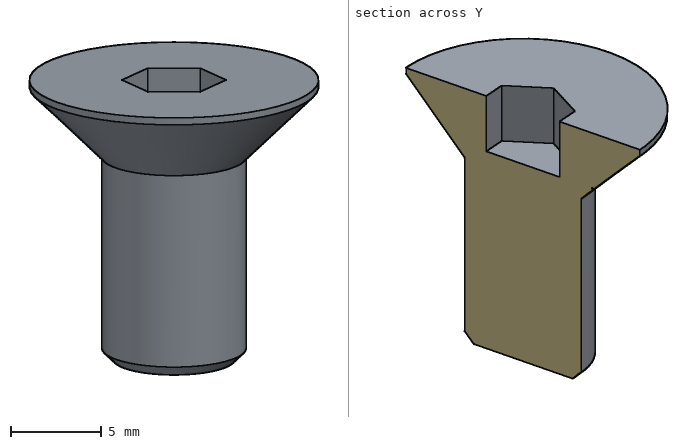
import cadquery as cq
import math

total_length = 16.0
head_diameter = 16.0
shank_diameter = head_diameter / 2
rim_height = 0.4
tip_chamfer = 0.62
socket_across_flats = 5.0
socket_depth = 3.5

head_radius = head_diameter / 2
shank_radius = shank_diameter / 2
tip_radius = shank_radius - tip_chamfer
rim_bottom = total_length - rim_height
cone_height = head_radius - shank_radius
cone_bottom = rim_bottom - cone_height


def screw_body():
    """Revolve the half profile of the head, shank and chamfered tip."""
    half_profile = [
        (0, 0),
        (tip_radius, 0),
        (shank_radius, tip_chamfer),
        (shank_radius, cone_bottom),
        (head_radius, rim_bottom),
        (head_radius, total_length),
        (0, total_length),
    ]
    return cq.Workplane("XZ").polyline(half_profile).close().revolve(360, (0, 0, 0), (0, 1, 0))


def hex_socket():
    """Flat-bottomed hexagonal socket with two corners on the Y axis."""
    across_corners = socket_across_flats / math.cos(math.radians(30))
    return (
        cq.Workplane("XY", origin=(0, 0, total_length - socket_depth))
        .transformed(rotate=(0, 0, 90))
        .polygon(6, across_corners)
        .extrude(socket_depth)
    )


result = screw_body().cut(hex_socket())